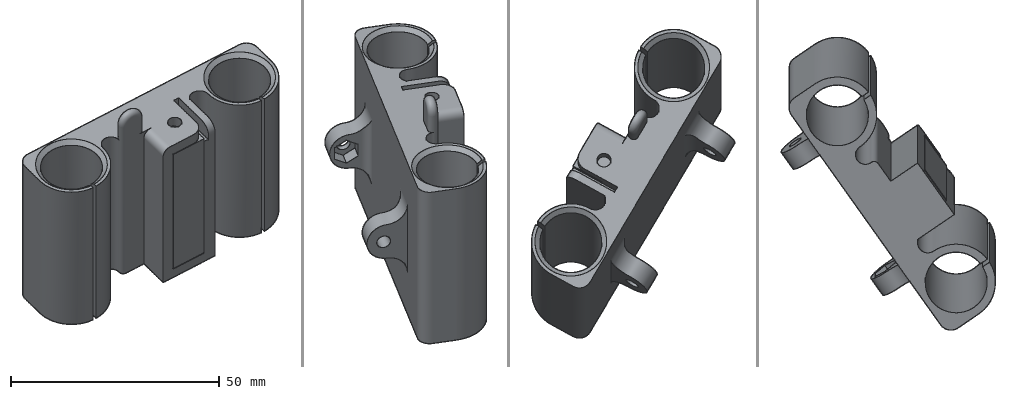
import cadquery as cq
import math

total_width = 68.8
body_height = 45.0
back_corner_radius = 3.0

tube_radius = 9.4
tube_x = 9.0
tube_end_x = tube_x + tube_radius
tube_y = total_width / 2 - tube_radius
bore_radius = 7.4
bore_chamfer_width = 1.2
bore_chamfer_depth = 0.95
slit_width = 0.9

arm_end_x = 18.15
arm_top_y = 11.0
arm_bottom_y = -4.4
arm_edge_radius = 2.05
arm_corner_radius = 3.0
arm_roof_thickness = 3.0

flag_thickness = 2.5
flag_width = 6.5
flag_height = 8.0
flag_round = 1.2
ledge_x = 10.3
ledge_end_y = arm_bottom_y - flag_width

upper_notch_radius = 2.5
tube_inner_y = tube_y - tube_radius
lower_notch_radius = (tube_inner_y + ledge_end_y) / 2

slot_start_x = 6.0
slot_low_y = 7.65
slot_ridge_y = 8.05
slot_high_y = 9.1
slot_depth = 4.1
slot_floor_radius = 2.05

roof_hole_diameter = 3.4
roof_hole_x = 12.1
roof_hole_y = 3.45

slider_end_x = 18.3
slider_low_y = -1.5

lug_reach = 10.0
lug_radius = lug_reach / 2
lug_width = 4.95
lug_outer_y = 21.3
lug_root_fillet = 2.05
lug_hole_diameter = 3.4
lug_hole_x = -5.85
nut_sides = 6
nut_across_corners = 6.75
nut_depth = 3.3


def box(x0, x1, y0, y1, z0, z1):
    """Axis-aligned block between two opposite corners."""
    return cq.Workplane("XY").box(x1 - x0, y1 - y0, z1 - z0, centered=False).translate((x0, y0, z0))


def cylinder_z(x, y, radius, z0, z1):
    """Vertical cylinder between two heights."""
    return cq.Workplane("XY", origin=(x, y, z0)).circle(radius).extrude(z1 - z0)


def make_plate():
    """Back plate with a half-round tube wall at each end."""
    half_width = total_width / 2
    plate = box(0, tube_x, -half_width, half_width, 0, body_height)
    plate = plate.edges("|Z and <X").fillet(back_corner_radius)
    front_half = box(tube_x, tube_end_x, -half_width, half_width, 0, body_height)
    for y in (-tube_y, tube_y):
        tube = cylinder_z(tube_x, y, tube_radius, 0, body_height)
        plate = plate.union(tube.intersect(front_half))
    return plate


def cut_notches(plate):
    """Round-bottomed notches next to the tubes."""
    upper_y = tube_inner_y - upper_notch_radius
    lower_y = lower_notch_radius - tube_inner_y
    for y, radius in ((upper_y, upper_notch_radius), (lower_y, lower_notch_radius)):
        plate = plate.cut(cylinder_z(tube_x, y, radius, 0, body_height))
    return plate


def make_arm():
    """Block between the tubes with a rounded top edge, and the plate ledge that carries the flag."""
    arm = box(slot_start_x, arm_end_x, arm_bottom_y, arm_top_y, 0, body_height)
    arm = arm.edges("|X and >Z and <Y").fillet(arm_edge_radius)
    ledge_top_y = arm_bottom_y + arm_edge_radius
    ledge = box(ledge_x - flag_thickness, ledge_x, ledge_end_y, ledge_top_y, 0, body_height)
    ledge = ledge.edges("|Z and >X and <Y").fillet(flag_round)
    return arm.union(ledge)


def round_arm_end(housing):
    """Round the end of the wall beyond the slot and the corner of the roof beside it."""
    radius = arm_corner_radius
    start_x = arm_end_x - radius
    wall_corner = box(start_x, arm_end_x, slot_high_y, arm_top_y, body_height - radius, body_height)
    wall_round = (
        cq.Workplane("XZ", origin=(start_x, arm_top_y, body_height - radius))
        .circle(radius)
        .extrude(arm_top_y - slot_high_y)
    )
    roof_z = body_height - arm_roof_thickness
    center_y = slot_low_y - radius
    roof_corner = box(start_x, arm_end_x, center_y, slot_low_y, roof_z, body_height)
    roof_round = cylinder_z(start_x, center_y, radius, roof_z, body_height)
    return housing.cut(wall_corner.cut(wall_round)).cut(roof_corner.cut(roof_round))


def make_slot():
    """Slot whose floor curves down toward +Y from a narrow flat strip."""
    floor_z = body_height - slot_depth
    end_angle = math.asin((slot_high_y - slot_ridge_y) / slot_floor_radius)

    def floor_point(angle):
        """Point on the curved floor, at an angle from the vertical."""
        return (
            slot_ridge_y + slot_floor_radius * math.sin(angle),
            floor_z - slot_floor_radius * (1 - math.cos(angle)),
        )

    return (
        cq.Workplane("YZ", origin=(slot_start_x, 0, 0))
        .moveTo(slot_low_y, body_height)
        .lineTo(slot_low_y, floor_z)
        .lineTo(slot_ridge_y, floor_z)
        .threePointArc(floor_point(end_angle / 2), floor_point(end_angle))
        .lineTo(slot_high_y, body_height)
        .close()
        .extrude(arm_end_x - slot_start_x)
    )


def make_flag():
    """Upright round-topped flag with fully softened edges."""
    top_radius = flag_width / 2
    shoulder_z = flag_height - top_radius
    flag = (
        cq.Workplane("YZ", origin=(ledge_x - flag_thickness, ledge_end_y, body_height))
        .lineTo(flag_width, 0)
        .lineTo(flag_width, shoulder_z)
        .threePointArc((top_radius, flag_height), (0, shoulder_z))
        .close()
        .extrude(flag_thickness)
    )
    return flag.faces("<X or >X").edges("not <Z").fillet(flag_round)


def make_lug():
    """Hinge lug at +Y: round end, flared root, and a fillet on the side facing the middle."""
    root_z = lug_reach
    diagonal = lug_radius * math.sqrt(0.5)
    inner_y = lug_outer_y - lug_width
    root_y = inner_y - lug_root_fillet
    lug = (
        cq.Workplane("XZ", origin=(0, lug_outer_y, body_height / 2))
        .moveTo(0, -root_z)
        .threePointArc((diagonal - lug_radius, diagonal - root_z), (-lug_radius, -lug_radius))
        .threePointArc((-lug_reach, 0), (-lug_radius, lug_radius))
        .threePointArc((diagonal - lug_radius, root_z - diagonal), (0, root_z))
        .close()
        .extrude(lug_outer_y - root_y)
    )
    fillet_space = box(-lug_reach, 0, root_y, inner_y, 0, body_height)
    root_block = box(-lug_root_fillet, 0, root_y, inner_y, 0, body_height)
    root_round = cylinder_z(-lug_root_fillet, root_y, lug_root_fillet, 0, body_height)
    return lug.cut(fillet_space.cut(root_block.cut(root_round)))


def make_lug_bore():
    """Hole through both lugs, with a nut pocket, corners up and down, in the +Y lug's inner face."""
    axis = (lug_hole_x, lug_outer_y, body_height / 2)
    hole = cq.Workplane("XZ", origin=axis).circle(lug_hole_diameter / 2).extrude(2 * lug_outer_y)
    nut_y = lug_outer_y - lug_width + nut_depth
    nut = (
        cq.Workplane("XZ", origin=(lug_hole_x, nut_y, body_height / 2))
        .transformed(rotate=(0, 0, 180 / nut_sides))
        .polygon(nut_sides, nut_across_corners)
        .extrude(nut_depth)
    )
    return hole.union(nut)


def cut_tube_bores(housing):
    """Through bores, chamfered at the top, each opened by a slit on the +X side."""
    for y in (-tube_y, tube_y):
        bore = cylinder_z(tube_x, y, bore_radius, 0, body_height)
        chamfer = cq.Solid.makeCone(
            bore_radius,
            bore_radius + bore_chamfer_width,
            bore_chamfer_depth,
            pnt=cq.Vector(tube_x, y, body_height - bore_chamfer_depth),
        )
        slit = box(tube_x, tube_end_x, y - slit_width / 2, y + slit_width / 2, 0, body_height)
        housing = housing.cut(bore).cut(chamfer).cut(slit)
    return housing


def make_slider():
    """Plain block filling the pocket and standing slightly out of the arm end."""
    top_z = body_height - arm_roof_thickness
    return box(ledge_x, slider_end_x, slider_low_y, slot_low_y, arm_roof_thickness, top_z)


def make_housing():
    """Plate, tubes, arm, flag and lugs as one solid."""
    lug = make_lug()
    housing = cut_notches(make_plate()).union(make_arm())
    housing = round_arm_end(housing).cut(make_slot()).union(make_flag())
    housing = housing.union(lug).union(lug.mirror("XZ")).cut(make_lug_bore())
    housing = cut_tube_bores(housing)
    roof_z = body_height - arm_roof_thickness
    roof_hole = cylinder_z(roof_hole_x, roof_hole_y, roof_hole_diameter / 2, roof_z, body_height)
    return housing.cut(roof_hole).cut(make_slider())


housing = make_housing()
slider = make_slider()

result = cq.Compound.makeCompound([housing.val(), slider.val()])